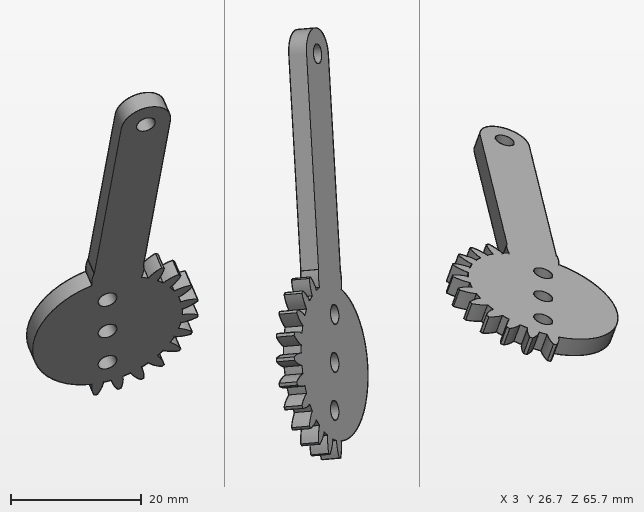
import cadquery as cq
import math

thickness = 3.0

tooth_count = 24
tooth_pitch = 360 / tooth_count
root_radius = 12.1
flank_radius = 13.5
tip_radius = 14.7
root_half_width = 0.95
flank_half_width = 0.7
tip_half_width = 0.25
tooth_embed = 0.3
first_tooth_angle = -6.5 * tooth_pitch
sector_teeth = 14

arm_angle = 5.5 * tooth_pitch
arm_length = 47.45
arm_half_width = 4.0

hole_diameter = 3.0
hole_spacing = 7.5


def polar(radius, angle):
    """Point in the YZ plane at a radius and an angle in degrees."""
    radians = math.radians(angle)
    return (radius * math.cos(radians), radius * math.sin(radians))


def make_tooth(angle):
    """One tooth with curved flanks, pointing along the given angle."""
    base_radius = root_radius - tooth_embed
    outline = (
        cq.Workplane("YZ")
        .moveTo(base_radius, -root_half_width)
        .lineTo(root_radius, -root_half_width)
        .threePointArc((flank_radius, -flank_half_width), (tip_radius, -tip_half_width))
        .lineTo(tip_radius, tip_half_width)
        .threePointArc((flank_radius, flank_half_width), (root_radius, root_half_width))
        .lineTo(base_radius, root_half_width)
        .close()
    )
    return outline.extrude(thickness).rotate((0, 0, 0), (1, 0, 0), angle)


def make_arm():
    """Straight bar from the gear centre with a rounded outer end."""
    bar = (
        cq.Workplane("YZ")
        .moveTo(0, -arm_half_width)
        .lineTo(arm_length, -arm_half_width)
        .threePointArc((arm_length + arm_half_width, 0), (arm_length, arm_half_width))
        .lineTo(0, arm_half_width)
        .close()
    )
    return bar.extrude(thickness).rotate((0, 0, 0), (1, 0, 0), arm_angle)


body = cq.Workplane("YZ").circle(root_radius).extrude(thickness).union(make_arm())
for index in range(sector_teeth):
    body = body.union(make_tooth(first_tooth_angle + index * tooth_pitch))

hole_centres = [(0, -hole_spacing), (0, 0), (0, hole_spacing), polar(arm_length, arm_angle)]
holes = cq.Workplane("YZ").pushPoints(hole_centres).circle(hole_diameter / 2).extrude(thickness)

result = body.cut(holes)